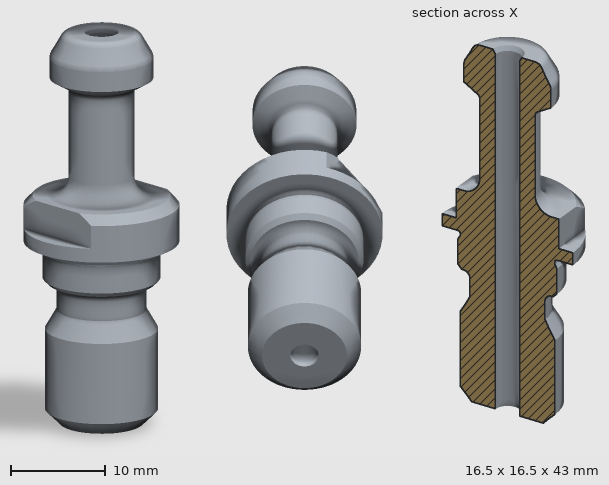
import cadquery as cq
import math

total_height = 43.0
head_underside = 38.0
flange_top = 25.03
flat_floor = 21.5
flange_bottom = 20.0
collar_top = 19.0
collar_bottom = 15.5
relief_bottom = 12.5

flange_radius = 16.5 / 2
head_radius = 11.0 / 2
neck_radius = 7.0 / 2
collar_radius = 12.5 / 2
shank_radius = 12.0 / 2
relief_radius = 9.5 / 2
bore_radius = 3.0 / 2

head_rim_radius = 4.05
head_fillet = 1.0
underhead_fillet = 0.5
neck_fillet = 2.0
flange_chamfer = 1.0
flat_distance = 13.0
collar_chamfer = 0.5
groove_fillet = 0.2
relief_fillet = 0.77
tip_chamfer = 1.5
bore_chamfer = 0.3
bore_mouth_angle = 60

slope = math.tan(math.radians(30))
head_shoulder = total_height - (head_radius - head_rim_radius) / slope
neck_top = head_underside - (head_radius - neck_radius) * slope
shank_top = relief_bottom - (shank_radius - relief_radius) / slope
groove_bottom = collar_top + (collar_radius - shank_radius) / slope


def round_ring(body, radius, height, fillet):
    """Fillet the circular edge of the given radius at the given height."""
    margin = 0.005
    low = (-radius - margin, -radius - margin, height - margin)
    high = (radius + margin, radius + margin, height + margin)
    ring = cq.selectors.BoxSelector(low, high, boundingbox=True)
    edges = body.edges("%CIRCLE").edges(ring)
    outer_edge = edges.filter(lambda edge: abs(edge.radius() - radius) < margin)
    return outer_edge.fillet(fillet)


def turned_body():
    """Solid of revolution, outlined from the threaded end up to the head."""
    outline = [
        (0, 0),
        (shank_radius - tip_chamfer, 0),
        (shank_radius, tip_chamfer),
        (shank_radius, shank_top),
        (relief_radius, relief_bottom),
        (relief_radius, collar_bottom),
        (collar_radius - collar_chamfer, collar_bottom),
        (collar_radius, collar_bottom + collar_chamfer),
        (collar_radius, collar_top),
        (shank_radius, groove_bottom),
        (shank_radius, flange_bottom),
        (flange_radius, flange_bottom),
        (flange_radius, flange_top - flange_chamfer),
        (flange_radius - flange_chamfer, flange_top),
        (neck_radius, flange_top),
        (neck_radius, neck_top),
        (head_radius, head_underside),
        (head_radius, head_shoulder),
        (head_rim_radius, total_height),
        (0, total_height),
    ]
    body = cq.Workplane("XZ").polyline(outline).close().revolve(360, (0, 0), (0, 1))
    rounded_rings = [
        (relief_radius, collar_bottom, relief_fillet),
        (shank_radius, flange_bottom, groove_fillet),
        (neck_radius, flange_top, neck_fillet),
        (neck_radius, neck_top, underhead_fillet),
        (head_radius, head_shoulder, head_fillet),
        (head_rim_radius, total_height, head_fillet),
    ]
    for radius, height, fillet in rounded_rings:
        body = round_ring(body, radius, height, fillet)
    return body


def cut_wrench_flats(body):
    """Cut two opposite flats into the upper part of the flange."""
    depth = flange_radius - flat_distance / 2
    for side in (-1, 1):
        cutter = (
            cq.Workplane("XY", origin=(0, side * (flat_distance / 2 + depth), flat_floor))
            .rect(2 * flange_radius, 2 * depth)
            .extrude(flange_top - flat_floor)
        )
        body = body.cut(cutter)
    return body


def drill_bore(body):
    """Drill through the axis, with a countersunk mouth in the head."""
    mouth_diameter = 2 * (bore_radius + bore_chamfer)
    top = body.faces(">Z").workplane(origin=(0, 0, total_height))
    return top.cskHole(2 * bore_radius, mouth_diameter, bore_mouth_angle)


result = drill_bore(cut_wrench_flats(turned_body()))